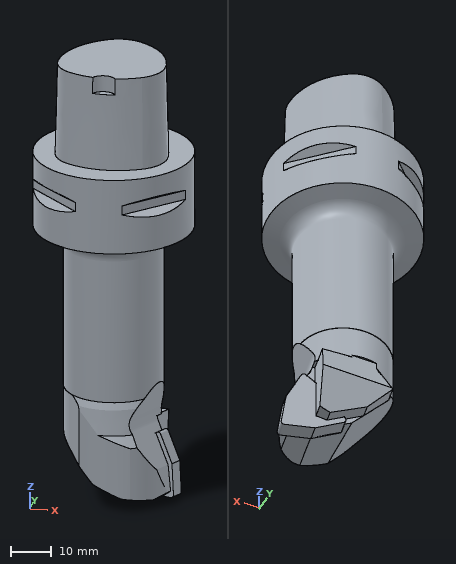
import cadquery as cq
import math


taper_length = 24.0
taper_half_width = 14.0
taper_shrink = 0.6
lobe_offset = 5.7
key_diameter = 6.4
key_center_y = -14.0
key_depth = 4.2
lobe_angles = (90, 210, 330)
lobe_half_angle = 30

flange_diameter = 40.0
flange_height = 19.5
flange_cone_angle = 15
neck_radius = 4.0
shank_diameter = 25.0
shank_end_z = -61.9
neck_end_z = -24.5

groove_count = 4
first_groove_angle = 45
groove_z = -8.0
groove_floor_distance = 17.7
groove_floor_height = 2.4
groove_mouth_height = 5.1

tip_x = 17.0
overall_length = 114
nose_dip = 0.031
tip_z = taper_length - overall_length + nose_dip
rake_normal = cq.Vector(0.23, 0.96, -0.16)

inscribed_radius = 6.4
insert_thickness = 4.8
nose_radius = 0.8
nose_angle = 80
lead_angle = 95

corner_start_angle = 219
corner_end = (-6.4, -11.7)
bulge_middle = (2.3, -14.6)
head_radius = 12.4
heel_radius = 15.7
heel_start_angle = -63.8
head_bottom_z = -96.9

collar_cone_end = (13.2, -63.7)
slim_cone_end = (14.1, -70.1)
wide_cone_end = (22.8, -86.1)

bevel_corner = (-12.8, -73.3)

notch_top = (4.3, 45.6)
notch_corner = (-7.3, 20.2)
notch_radius = 5.0
relief_side = (-1.7, 8.2)
relief_edge = [(-0.8, 1.7), (-2.5, 0.5), (-8.5, 1.0), (-20.4, 6.2), (-45.6, 18.2)]

seat_drop = 1.1
clamp_edge = [(-26.5, 13.9), (-20.6, 7.9), (-11.4, 3.6), (-8.5, 4.3), (-7.4, 19.4)]
clamp_root = (-20.5, 20.5)
clamp_top_y = 12.0
clamp_top_z = -71.0
clamp_slope_start_z = -77.5
clamp_slope = 0.56

reach = 45.6
full_height = 136.8


def tool_plane():
    """Local x follows X, local y follows Z, and the normal points away from the rake side."""
    across = cq.Vector(1, 0, 0) - rake_normal * (rake_normal.x / rake_normal.Length ** 2)
    return cq.Plane(origin=(tip_x, 0, tip_z), xDir=across, normal=rake_normal * -1)


def polar(radius, degrees):
    angle = math.radians(degrees)
    return cq.Vector(radius * math.cos(angle), radius * math.sin(angle))


def polygon_outline(half_width, z):
    """Constant-width outline: a small arc on each lobe and a large arc between lobes."""
    lobe_radius = half_width - lobe_offset * math.cos(math.radians(lobe_half_angle))
    side_radius = 2 * half_width - lobe_radius

    outline = cq.Workplane("XY", origin=(0, 0, z))
    first_angle = lobe_angles[0]
    start = polar(lobe_offset, first_angle) + polar(lobe_radius, first_angle - lobe_half_angle)
    outline = outline.moveTo(start.x, start.y)
    for lobe_angle in lobe_angles:
        side_angle = lobe_angle + 2 * lobe_half_angle
        lobe = polar(lobe_offset, lobe_angle)
        lobe_middle = lobe + polar(lobe_radius, lobe_angle)
        lobe_end = lobe + polar(lobe_radius, lobe_angle + lobe_half_angle)
        opposite_lobe = polar(lobe_offset, side_angle + 180)
        side_middle = opposite_lobe + polar(side_radius, side_angle)
        side_end = opposite_lobe + polar(side_radius, side_angle + lobe_half_angle)
        outline = outline.threePointArc((lobe_middle.x, lobe_middle.y), (lobe_end.x, lobe_end.y))
        outline = outline.threePointArc((side_middle.x, side_middle.y), (side_end.x, side_end.y))
    return outline.close().val()


def make_taper():
    base = polygon_outline(taper_half_width, 0)
    top = polygon_outline(taper_half_width - taper_shrink, taper_length)
    taper = cq.Workplane(cq.Solid.makeLoft([base, top], True))
    key = (
        cq.Workplane("XY", origin=(0, key_center_y, taper_length - key_depth))
        .circle(key_diameter / 2)
        .extrude(key_depth)
    )
    return taper.cut(key)


def make_flange_and_shank():
    shank_radius = shank_diameter / 2
    cone = math.radians(flange_cone_angle)
    arc_x = shank_radius + neck_radius
    cone_end = (arc_x - neck_radius * math.sin(cone), neck_end_z + neck_radius * math.cos(cone))
    middle = math.radians(90 + (flange_cone_angle + 90) / 2)
    arc_middle = (arc_x + neck_radius * math.cos(middle), neck_end_z + neck_radius * math.sin(middle))
    return (
        cq.Workplane("XZ")
        .lineTo(flange_diameter / 2, 0)
        .lineTo(flange_diameter / 2, -flange_height)
        .lineTo(*cone_end)
        .threePointArc(arc_middle, (shank_radius, neck_end_z))
        .lineTo(shank_radius, shank_end_z)
        .lineTo(0, shank_end_z)
        .close()
        .revolve(360, (0, 0), (0, 1))
    )


def make_groove(angle):
    """Straight groove with a flat floor and flared sides, facing outward at the angle."""
    mouth_distance = flange_diameter / 2
    return (
        cq.Workplane("XZ")
        .moveTo(groove_floor_distance, groove_z - groove_floor_height / 2)
        .lineTo(mouth_distance, groove_z - groove_mouth_height / 2)
        .lineTo(mouth_distance, groove_z + groove_mouth_height / 2)
        .lineTo(groove_floor_distance, groove_z + groove_floor_height / 2)
        .close()
        .extrude(flange_diameter / 2, both=True)
        .rotate((0, 0, 0), (0, 0, 1), angle)
    )


def make_head_blank():
    """Shank circle bulging out to -Y, topped by three cones that blend it into the shank."""
    shank_radius = shank_diameter / 2
    corner_start = polar(head_radius, corner_start_angle)
    heel_start = polar(heel_radius, heel_start_angle)
    heel_middle = polar(heel_radius, heel_start_angle / 2)
    back = polar(head_radius, corner_start_angle / 2)
    column = (
        cq.Workplane("XY", origin=(0, 0, shank_end_z))
        .moveTo(corner_start.x, corner_start.y)
        .lineTo(*corner_end)
        .threePointArc(bulge_middle, (heel_start.x, heel_start.y))
        .threePointArc((heel_middle.x, heel_middle.y), (heel_radius, 0))
        .lineTo(head_radius, 0)
        .threePointArc((back.x, back.y), (corner_start.x, corner_start.y))
        .close()
        .extrude(head_bottom_z - shank_end_z)
    )
    envelope = (
        cq.Workplane("XZ")
        .moveTo(0, shank_end_z)
        .lineTo(shank_radius, shank_end_z)
        .lineTo(*collar_cone_end)
        .lineTo(*slim_cone_end)
        .lineTo(*wide_cone_end)
        .lineTo(wide_cone_end[0], head_bottom_z)
        .lineTo(0, head_bottom_z)
        .close()
        .revolve(360, (0, 0), (0, 1))
    )
    return column.intersect(envelope)


def make_flank_prism():
    """Everything to keep around the insert's flanks: an outline carried along the rake normal."""
    corner = cq.Vector(*notch_corner)
    wall = (cq.Vector(*notch_top) - corner).normalized()
    relief = (cq.Vector(*relief_side) - corner).normalized()
    half_turn = wall.getAngle(relief * -1) / 2
    wall_end = corner + wall * (notch_radius * math.tan(half_turn))
    relief_start = corner + relief * (notch_radius * math.tan(half_turn))
    arc_depth = notch_radius * (1 / math.cos(half_turn) - 1)
    arc_middle = corner + (wall + relief).normalized() * arc_depth
    return (
        cq.Workplane(tool_plane())
        .moveTo(-reach, full_height)
        .lineTo(reach, full_height)
        .lineTo(reach, notch_top[1])
        .lineTo(*notch_top)
        .lineTo(wall_end.x, wall_end.y)
        .threePointArc((arc_middle.x, arc_middle.y), (relief_start.x, relief_start.y))
        .polyline([relief_side] + relief_edge, includeCurrent=True)
        .close()
        .extrude(reach, both=True)
    )


def make_bevel():
    """Wedge of space under the head on the -X side."""
    x, z = bevel_corner
    return (
        cq.Workplane("XZ")
        .moveTo(x - reach, z + reach)
        .lineTo(x + reach, z - reach)
        .lineTo(x - reach, z - reach)
        .close()
        .extrude(reach, both=True)
    )


def make_chip_pocket():
    """Space on the rake side of the pocket floor, below the notch and outside the clamp."""
    corners = [(-reach, clamp_edge[0][1])] + clamp_edge
    corners += [(reach, clamp_edge[-1][1]), (reach, -reach), (-reach, -reach)]
    return (
        cq.Workplane(tool_plane()).workplane(offset=seat_drop)
        .polyline(corners).close().extrude(-reach)
    )


def make_clamp():
    """Block that stands on the pocket floor and reaches over the insert."""
    corners = clamp_edge + [clamp_root]
    return (
        cq.Workplane(tool_plane()).workplane(offset=seat_drop)
        .polyline(corners).close().extrude(-reach / 2)
    )


def make_clamp_relief():
    """Space beyond the clamp top and its slope toward the cutting tip."""
    low_y = clamp_top_y - clamp_slope * (clamp_slope_start_z - head_bottom_z)
    return (
        cq.Workplane("YZ")
        .moveTo(reach, clamp_top_z)
        .lineTo(clamp_top_y, clamp_top_z)
        .lineTo(clamp_top_y, clamp_slope_start_z)
        .lineTo(low_y, head_bottom_z)
        .lineTo(reach, head_bottom_z)
        .close()
        .extrude(reach, both=True)
    )


def make_insert():
    """Trigon plate with rounded noses; one nose touches the tool plane origin's X and Z."""
    half_nose = math.radians(nose_angle / 2)
    half_side = math.radians(120 - nose_angle / 2)
    side_distance = inscribed_radius / math.sin(half_side)
    arc_half_angle = 90 - nose_angle / 2
    nose_direction = lead_angle + nose_angle / 2 - 180
    arc_center_distance = (inscribed_radius - nose_radius) / math.sin(half_nose)
    arc_center = polar(arc_center_distance, nose_direction)
    center = arc_center * -1 - cq.Vector(nose_radius, -nose_radius)

    outline = cq.Workplane(tool_plane())
    for turn in (0, 120, 240):
        direction = nose_direction + turn
        arc_center = center + polar(arc_center_distance, direction)
        arc_start = arc_center + polar(nose_radius, direction - arc_half_angle)
        arc_middle = arc_center + polar(nose_radius, direction)
        arc_end = arc_center + polar(nose_radius, direction + arc_half_angle)
        side = center + polar(side_distance, direction + 60)
        if turn == 0:
            outline = outline.moveTo(arc_start.x, arc_start.y)
        else:
            outline = outline.lineTo(arc_start.x, arc_start.y)
        outline = outline.threePointArc((arc_middle.x, arc_middle.y), (arc_end.x, arc_end.y))
        outline = outline.lineTo(side.x, side.y)
    return outline.close().extrude(insert_thickness)


insert = make_insert()

head = make_head_blank().cut(make_bevel()).cut(make_chip_pocket())
head = head.union(make_clamp()).cut(make_clamp_relief())
holder = make_taper().union(make_flange_and_shank()).union(head)
holder = holder.intersect(make_flank_prism()).cut(insert)
for index in range(groove_count):
    holder = holder.cut(make_groove(first_groove_angle + index * 360 / groove_count))
result = cq.Compound.makeCompound([holder.val(), insert.val()])